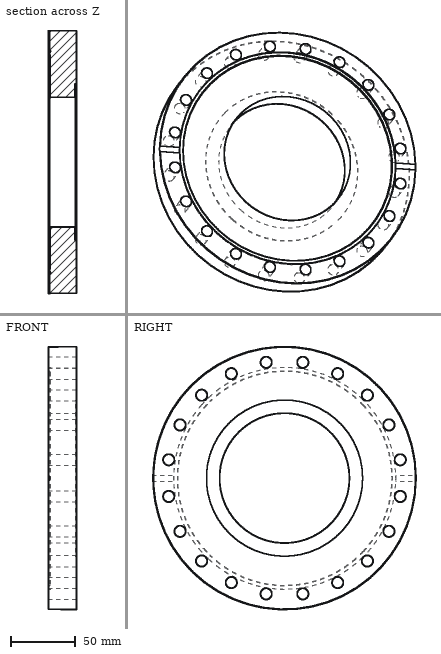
import cadquery as cq
import math

outer_diameter = 203.0
thickness = 22.0
rim_chamfer = 0.5
bore_diameter = 100.0
counterbore_diameter = 120.5
counterbore_depth = 1.2

recess_diameter = 171.3
knife_diameter = 166.0
knife_tip_depth = 0.6
knife_slope = 20.0
knife_inner_taper = 0.5
inner_face_depth = 1.2

bolt_count = 20
bolt_circle_diameter = 180.9
bolt_hole_diameter = 8.5

groove_width = 4.5
groove_depth = 1.0

outer_radius = outer_diameter / 2
bore_radius = bore_diameter / 2
counterbore_radius = counterbore_diameter / 2
recess_radius = recess_diameter / 2
knife_radius = knife_diameter / 2
rim_x = -thickness / 2
back_x = thickness / 2


def flange_body():
    """Revolve the half section, drawn with X along the axis and Y as the radius."""
    slope_drop = (recess_radius - knife_radius) * math.tan(math.radians(knife_slope))
    knife_x = rim_x + knife_tip_depth
    inner_x = rim_x + inner_face_depth
    counterbore_x = back_x - counterbore_depth
    section = [
        (inner_x, bore_radius),
        (inner_x, knife_radius - knife_inner_taper),
        (knife_x, knife_radius),
        (knife_x + slope_drop, recess_radius),
        (rim_x, recess_radius),
        (rim_x, outer_radius - rim_chamfer),
        (rim_x + rim_chamfer, outer_radius),
        (back_x - rim_chamfer, outer_radius),
        (back_x, outer_radius - rim_chamfer),
        (back_x, counterbore_radius),
        (counterbore_x, counterbore_radius),
        (counterbore_x, bore_radius),
    ]
    return cq.Workplane("XY").polyline(section).close().revolve(360, (0, 0, 0), (1, 0, 0))


def bolt_holes():
    """Through holes, with the Y axis midway between two of them."""
    half_pitch = 180 / bolt_count
    return (
        cq.Workplane("YZ", origin=(rim_x, 0, 0))
        .polarArray(bolt_circle_diameter / 2, half_pitch, 360, bolt_count)
        .circle(bolt_hole_diameter / 2)
        .extrude(thickness)
    )


def leak_groove(side):
    """Radial groove from the recess wall to the outside, on the +Y or -Y side."""
    groove_radius = (groove_width**2 / 4 + groove_depth**2) / (2 * groove_depth)
    axis_x = rim_x + groove_depth - groove_radius
    start = cq.Vector(axis_x, side * recess_radius, 0)
    length = outer_radius - recess_radius
    return cq.Solid.makeCylinder(groove_radius, length, start, cq.Vector(0, side, 0))


result = flange_body().cut(bolt_holes())
for side in (-1, 1):
    result = result.cut(cq.Workplane(leak_groove(side)))